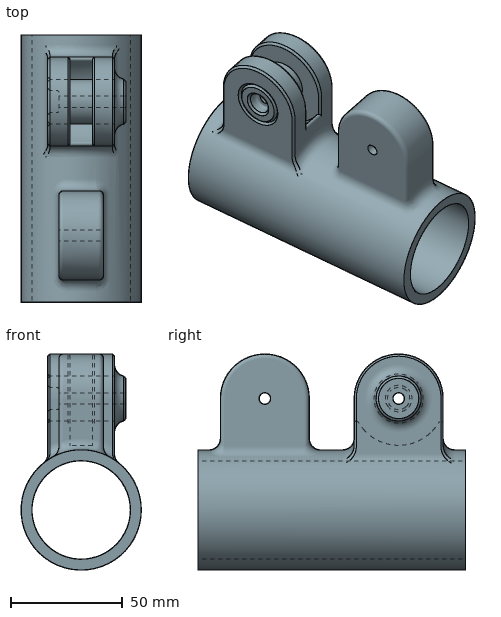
import cadquery as cq
import math

tube_length = 120.0
tube_diameter = 54.0
bore_diameter = 44.0
tube_radius = tube_diameter / 2

lug_width = 40.0
lug_top_z = 70.0
lug_radius = lug_width / 2
axis_z = lug_top_z - lug_radius
fork_y = tube_length / 4
tongue_y = -fork_y
base_fillet = 5.0
fillet_centre_radius = tube_radius + base_fillet

fork_thickness = 30.0
fork_half = fork_thickness / 2
slot_width = 10.0
slot_half = slot_width / 2
slot_radius = 21.0
edge_chamfer = 1.0
small_fillet = edge_chamfer

tongue_thickness = 20.0
tongue_fillet = 2.0

pin_diameter = 20.0
pin_radius = pin_diameter / 2
pilot_diameter = 5.0
counterbore_diameter = 10.0
counterbore_depth = 5.0
boss_length = 5.0

tolerance = 0.01


def near(value, target):
    return abs(value - target) < tolerance


def y_cylinder(diameter):
    """Cylinder along the tube axis, as long as the tube."""
    return (
        cq.Workplane("XZ", origin=(0, tube_length / 2, 0))
        .circle(diameter / 2)
        .extrude(tube_length)
    )


def x_cylinder(diameter, x_start, x_end, y):
    """Cylinder along X on the pivot axis of the lug at y."""
    return (
        cq.Workplane("YZ", origin=(x_start, y, axis_z))
        .circle(diameter / 2)
        .extrude(x_end - x_start)
    )


def lug_blank(thickness, y):
    """Round-topped plate reaching down to the tube centreline."""
    return (
        cq.Workplane("YZ", origin=(-thickness / 2, y, 0))
        .moveTo(-lug_radius, 0)
        .lineTo(-lug_radius, axis_z)
        .threePointArc((0, lug_top_z), (lug_radius, axis_z))
        .lineTo(lug_radius, 0)
        .close()
        .extrude(thickness)
    )


def make_tongue_on_tube():
    """Tube with the tongue, whose edges and base are rounded."""
    tongue = lug_blank(tongue_thickness, tongue_y)
    tongue = tongue.faces("<X or >X").edges("not <Z").fillet(tongue_fillet)
    body = y_cylinder(tube_diameter).union(tongue)

    def is_joint(edge):
        points = [edge.positionAt(t) for t in (0, 0.3, 0.5, 1)]
        on_tube = all(near(math.hypot(p.x, p.z), tube_radius) for p in points)
        return on_tube and abs(edge.Center().y - tongue_y) < lug_radius + tolerance

    joint = [edge for edge in body.edges().vals() if is_joint(edge)]
    return body.newObject(joint).fillet(base_fillet)


def flared_cheeks():
    """Bar along Y whose +X and -X sides flare out tangent to the tube."""
    centre_x = fork_half + base_fillet
    centre_z = math.sqrt(fillet_centre_radius**2 - centre_x**2)
    foot_x = centre_x * tube_radius / fillet_centre_radius
    foot_z = centre_z * tube_radius / fillet_centre_radius
    foot_y = lug_radius + base_fillet
    return (
        cq.Workplane("XZ", origin=(0, fork_y + foot_y, 0))
        .moveTo(-foot_x, 0)
        .lineTo(-foot_x, foot_z)
        .radiusArc((-fork_half, centre_z), -base_fillet)
        .lineTo(-fork_half, lug_top_z)
        .lineTo(fork_half, lug_top_z)
        .lineTo(fork_half, centre_z)
        .radiusArc((foot_x, foot_z), -base_fillet)
        .lineTo(foot_x, 0)
        .close()
        .extrude(2 * foot_y)
    )


def flared_ends():
    """Disc about the tube axis whose +Y and -Y ends flare out tangent to the tube."""
    foot_y = lug_radius + base_fillet
    disc_radius = lug_top_z + lug_radius
    return (
        cq.Workplane("YZ", origin=(0, fork_y, 0))
        .moveTo(-foot_y, 0)
        .lineTo(-foot_y, tube_radius)
        .radiusArc((-lug_radius, fillet_centre_radius), -base_fillet)
        .lineTo(-lug_radius, disc_radius)
        .lineTo(lug_radius, disc_radius)
        .lineTo(lug_radius, fillet_centre_radius)
        .radiusArc((foot_y, tube_radius), -base_fillet)
        .lineTo(foot_y, 0)
        .close()
        .revolve(360, (0, 0, 0), (1, 0, 0))
    )


def fork_blank():
    """Fork without its slot: flared base with mitred corners, chamfered all round."""
    foot_length = 2 * (lug_radius + base_fillet)
    envelope = (
        cq.Workplane("XY", origin=(0, fork_y, 0))
        .rect(tube_diameter, foot_length)
        .extrude(axis_z)
        .union(x_cylinder(lug_width, -tube_radius, tube_radius, fork_y))
    )
    fork = flared_cheeks().intersect(flared_ends()).intersect(envelope)
    outline = [
        edge for edge in fork.edges().vals()
        if near(abs(edge.Center().x), fork_half) and edge.Center().z > fillet_centre_radius
    ]
    return fork.newObject(outline).chamfer(edge_chamfer)


def cut_slot(body):
    """Cut the disc-shaped slot; round the ends of its floor and chamfer its rims."""
    body = body.cut(x_cylinder(2 * slot_radius, -slot_half, slot_half, fork_y))
    lowest_z = axis_z - lug_radius / 2
    floor_ends = [
        edge for edge in body.edges().vals()
        if near(edge.Center().x, 0)
        and near(abs(edge.Center().y - fork_y), lug_radius)
        and lowest_z < edge.Center().z < axis_z
    ]
    body = body.newObject(floor_ends).fillet(small_fillet)
    rims = [
        edge for edge in body.edges().vals()
        if near(abs(edge.Center().x), slot_half)
        and edge.Center().y > 0
        and edge.Center().z > lowest_z
    ]
    return body.newObject(rims).chamfer(edge_chamfer)


def make_boss():
    """Round boss on the +X cheek, flared into it and closing the pin hole."""
    boss_end = fork_half + boss_length
    boss = (
        cq.Workplane("XY", origin=(0, fork_y, axis_z))
        .moveTo(fork_half, 0)
        .lineTo(boss_end, 0)
        .lineTo(boss_end, pin_radius)
        .radiusArc((fork_half, pin_radius + boss_length), boss_length)
        .close()
        .revolve(360, (0, 0, 0), (1, 0, 0))
    )
    return boss.faces(">X").edges().chamfer(edge_chamfer)


def cut_pin_hole(body):
    """Blind pin hole from the -X cheek up to the boss, with a chamfered mouth."""
    body = body.cut(x_cylinder(pin_diameter, -fork_half, fork_half, fork_y))
    mouth = [
        edge for edge in body.edges().vals()
        if edge.geomType() == "CIRCLE"
        and near(edge.radius(), pin_radius)
        and near(edge.Center().x, -fork_half)
    ]
    return body.newObject(mouth).chamfer(edge_chamfer)


def make_housing():
    """Tube with tongue, fork and boss, bored and drilled."""
    body = make_tongue_on_tube().union(fork_blank())
    body = cut_slot(body)
    body = body.union(make_boss())
    body = cut_pin_hole(body)
    for y in (fork_y, tongue_y):
        body = body.cut(x_cylinder(pilot_diameter, -tube_radius, tube_radius, y))
    return body.cut(y_cylinder(bore_diameter))


def make_pin():
    """Pin filling its hole, with a counterbored and chamfered -X end."""
    counterbore = x_cylinder(counterbore_diameter, -fork_half, counterbore_depth - fork_half, fork_y)
    counterbore = counterbore.faces(">X").edges().fillet(small_fillet)
    pin = x_cylinder(pin_diameter, -fork_half, fork_half, fork_y).cut(counterbore)
    pin = pin.faces("<X").edges().chamfer(edge_chamfer)
    return pin.cut(x_cylinder(pilot_diameter, -fork_half, fork_half, fork_y))


housing = make_housing()
pin = make_pin()
result = cq.Compound.makeCompound([housing.val(), pin.val()])